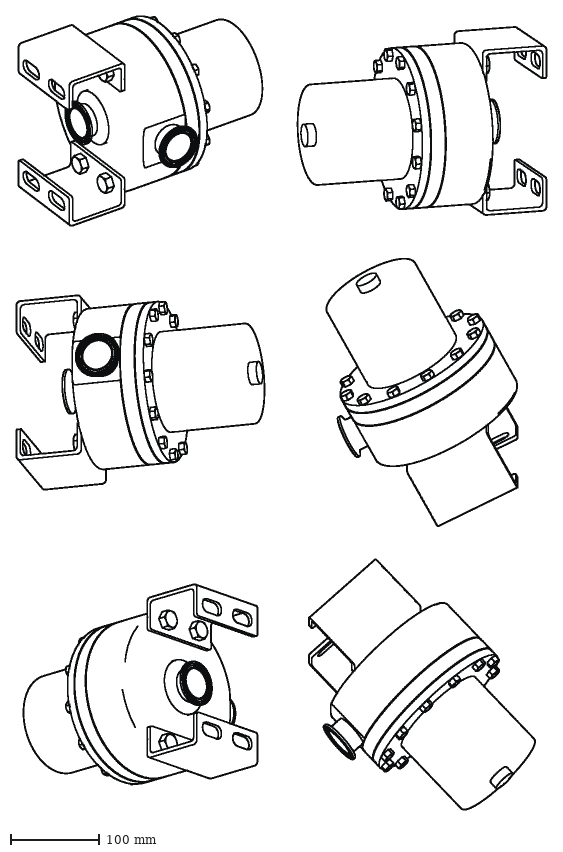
import cadquery as cq
import math

CASING_DIA = 183.0
CASING_LENGTH = 57.15
COVER_RING_END = 74.6
FLANGE_END = 85.0
MOTOR_DIA = 114.3
MOTOR_END = 185.1
SHAFT_DIA = 25.4
SHAFT_END = 195.17
CASING_FILLET = 3.2
MOTOR_FILLET = 1.5
JOINT_GROOVE_WIDTH = 0.8
JOINT_GROOVE_DEPTH = 0.4

FERRULE_DIA = 50.5
FERRULE_RIM = 2.85
FERRULE_SLOPE = math.radians(20)
FERRULE_NECK_RADIUS = 2.5
TUBE_DIA = 38.1
GASKET_INNER_DIA = 42.1
GASKET_OUTER_DIA = 46.4
GASKET_DEPTH = 1.6
RECESS_MOUTH_DIA = 37.5
RECESS_FLOOR_DIA = 34.6
RECESS_DEPTH = 1.0

INLET_LENGTH = 29.8
INLET_HUB_DIA = 63.6
INLET_HUB_FILLET = 3.0
INLET_CONE_START = 9.0
INLET_CONE_END = 16.0

OUTLET_FLAT_X = 87.7
OUTLET_FACE_X = 107.66
OUTLET_Y = 35.1

BRACKET_WIDTH = 101.6
BRACKET_DEPTH = 76.2
BRACKET_LEG = 38.1
BRACKET_THICKNESS = 4.76
BRACKET_OUTER_RADIUS = 4.76
BRACKET_INNER_RADIUS = 4.76
BRACKET_CORNER_RADIUS = 3.2
BRACKET_TOP_Z = 191.34 / 2
SLOT_LENGTH = 31.75
SLOT_WIDTH = 15.9
SLOT_SPACING = 50.8
SLOT_DROP = 22.0
SLOT_Z = BRACKET_TOP_Z - SLOT_DROP

BRACKET_BOLT_FLATS = 19.05
BRACKET_BOLT_HEIGHT = 9.1
FLANGE_BOLT_FLATS = 12.7
FLANGE_BOLT_HEIGHT = 6.35
FLANGE_BOLT_COUNT = 12
FLANGE_BOLT_CIRCLE_DIA = 167.6
BOLT_CHAMFER_ANGLE = math.radians(30)

OVERLAP = 2.0


def disc(diameter, y_start, y_end):
    """Cylinder about the Y axis from y_start to y_end."""
    plane = cq.Workplane("XZ", origin=(0, y_start, 0))
    return plane.circle(diameter / 2).extrude(y_start - y_end)


def joint_groove(y):
    """Ring that cuts the shallow groove where two casing sections meet."""
    start = y - JOINT_GROOVE_WIDTH / 2
    end = y + JOINT_GROOVE_WIDTH / 2
    outer = disc(CASING_DIA + OVERLAP, start, end)
    return outer.cut(disc(CASING_DIA - 2 * JOINT_GROOVE_DEPTH, start, end))


def make_body():
    """Casing, cover ring, flange, motor and shaft stub, with the outlet flat."""
    casing = disc(CASING_DIA, 0, FLANGE_END).faces("<Y").edges().fillet(CASING_FILLET)
    flat_cutter = cq.Workplane("XY").box(
        CASING_DIA, CASING_LENGTH, CASING_DIA, centered=(False, False, True)
    )
    casing = casing.cut(flat_cutter.translate((OUTLET_FLAT_X, 0, 0)))
    for y in (CASING_LENGTH, COVER_RING_END):
        casing = casing.cut(joint_groove(y))
    motor = disc(MOTOR_DIA, FLANGE_END - OVERLAP, MOTOR_END)
    motor = motor.faces(">Y").edges().fillet(MOTOR_FILLET)
    shaft = disc(SHAFT_DIA, MOTOR_END - OVERLAP, SHAFT_END)
    return casing.union(motor).union(shaft)


def make_ferrule(length):
    """Tube with a clamp rim, along +Z with its face at Z = 0 and its root at Z = -length."""
    tube_radius = TUBE_DIA / 2
    rim_radius = FERRULE_DIA / 2
    slope_end = FERRULE_RIM + (rim_radius - tube_radius) * math.tan(FERRULE_SLOPE)
    neck_turn = math.pi / 2 - FERRULE_SLOPE
    neck_tangent = FERRULE_NECK_RADIUS * math.tan(neck_turn / 2)
    neck_end = (
        tube_radius + neck_tangent * math.cos(FERRULE_SLOPE),
        -slope_end + neck_tangent * math.sin(FERRULE_SLOPE),
    )
    outline = (
        cq.Workplane("XZ")
        .moveTo(0, -length)
        .lineTo(tube_radius, -length)
        .lineTo(tube_radius, -slope_end - neck_tangent)
        .tangentArcPoint(neck_end, relative=False)
        .lineTo(rim_radius, -FERRULE_RIM)
        .lineTo(rim_radius, 0)
        .lineTo(RECESS_MOUTH_DIA / 2, 0)
        .lineTo(RECESS_FLOOR_DIA / 2, -RECESS_DEPTH)
        .lineTo(0, -RECESS_DEPTH)
        .close()
    )
    ferrule = outline.revolve(360, (0, 0, 0), (0, 1, 0))
    gasket_groove = (
        cq.Workplane("XY")
        .circle(GASKET_OUTER_DIA / 2)
        .circle(GASKET_INNER_DIA / 2)
        .extrude(-GASKET_DEPTH)
    )
    return ferrule.cut(gasket_groove)


def make_inlet():
    """Filleted hub and cone on the front face, carrying a ferrule that faces -Y."""
    hub_radius = INLET_HUB_DIA / 2
    root_radius = hub_radius + INLET_HUB_FILLET
    fillet_mid = INLET_HUB_FILLET * (1 - math.sqrt(0.5))
    hub = (
        cq.Workplane("XY")
        .moveTo(0, OVERLAP)
        .lineTo(root_radius, OVERLAP)
        .lineTo(root_radius, 0)
        .threePointArc((hub_radius + fillet_mid, -fillet_mid), (hub_radius, -INLET_HUB_FILLET))
        .lineTo(hub_radius, -INLET_CONE_START)
        .lineTo(TUBE_DIA / 2, -INLET_CONE_END)
        .lineTo(0, -INLET_CONE_END)
        .close()
        .revolve(360, (0, 0, 0), (0, 1, 0))
    )
    ferrule = make_ferrule(INLET_LENGTH).rotate((0, 0, 0), (1, 0, 0), 90)
    return hub.union(ferrule.translate((0, -INLET_LENGTH, 0)))


def make_outlet():
    """Ferrule facing +X on the casing flat."""
    ferrule = make_ferrule(OUTLET_FACE_X - OUTLET_FLAT_X + OVERLAP)
    ferrule = ferrule.rotate((0, 0, 0), (0, 1, 0), 90)
    return ferrule.translate((OUTLET_FACE_X, OUTLET_Y, 0))


def make_bolt_head(flats, height):
    """Hexagon head on the XY plane, corners on X, with its top corners chamfered."""
    corner_radius = flats / 2 / math.cos(math.pi / 6)
    chamfer_drop = (corner_radius - flats / 2) * math.tan(BOLT_CHAMFER_ANGLE)
    head = cq.Workplane("XY").polygon(6, 2 * corner_radius).extrude(height)
    envelope = (
        cq.Workplane("XZ")
        .moveTo(0, 0)
        .lineTo(corner_radius, 0)
        .lineTo(corner_radius, height - chamfer_drop)
        .lineTo(flats / 2, height)
        .lineTo(0, height)
        .close()
        .revolve(360, (0, 0, 0), (0, 1, 0))
    )
    return head.intersect(envelope)


def make_flange_bolts():
    """Ring of bolt heads on the motor side of the flange, each turned with its place."""
    pitch = 360 / FLANGE_BOLT_COUNT
    head = make_bolt_head(FLANGE_BOLT_FLATS, FLANGE_BOLT_HEIGHT + OVERLAP)
    head = head.rotate((0, 0, 0), (1, 0, 0), -90)
    bolts = cq.Workplane("XY")
    for index in range(FLANGE_BOLT_COUNT):
        angle = math.radians((index + 0.5) * pitch)
        x = FLANGE_BOLT_CIRCLE_DIA / 2 * math.cos(angle)
        z = FLANGE_BOLT_CIRCLE_DIA / 2 * math.sin(angle)
        turned = head.rotate((0, 0, 0), (0, 1, 0), -index * pitch)
        bolts = bolts.add(turned.translate((x, FLANGE_END - OVERLAP, z)))
    return bolts.combine()


def make_bracket():
    """Upper channel bracket with slots in its front leg and bolt heads on its rear leg."""
    inner_width = BRACKET_DEPTH - 2 * BRACKET_THICKNESS
    inner_height = BRACKET_LEG - BRACKET_THICKNESS
    outer = cq.Workplane("XY").box(
        BRACKET_WIDTH, BRACKET_DEPTH, BRACKET_LEG, centered=(True, True, False)
    )
    outer = outer.faces(">Z").edges("|X").fillet(BRACKET_OUTER_RADIUS)
    outer = outer.faces("<Z").edges("|Y").fillet(BRACKET_CORNER_RADIUS)
    inner = cq.Workplane("XY").box(
        BRACKET_WIDTH, inner_width, inner_height, centered=(True, True, False)
    )
    inner = inner.faces(">Z").edges("|X").fillet(BRACKET_INNER_RADIUS)
    leg_end_z = BRACKET_TOP_Z - BRACKET_LEG
    channel = outer.cut(inner).translate((0, -BRACKET_DEPTH / 2, leg_end_z))

    places = [(-SLOT_SPACING / 2, SLOT_Z), (SLOT_SPACING / 2, SLOT_Z)]
    slots = (
        cq.Workplane("XZ", origin=(0, -BRACKET_DEPTH + BRACKET_THICKNESS, 0))
        .pushPoints(places)
        .slot2D(SLOT_LENGTH, SLOT_WIDTH)
        .extrude(BRACKET_THICKNESS)
    )
    bracket = channel.cut(slots)
    head = make_bolt_head(BRACKET_BOLT_FLATS, BRACKET_BOLT_HEIGHT + OVERLAP)
    head = head.rotate((0, 0, 0), (1, 0, 0), 90)
    for x, z in places:
        bracket = bracket.union(head.translate((x, OVERLAP - BRACKET_THICKNESS, z)))
    return bracket


upper_bracket = make_bracket()
lower_bracket = upper_bracket.mirror("XY")
result = (
    make_body()
    .union(make_inlet())
    .union(make_outlet())
    .union(make_flange_bolts())
    .union(upper_bracket)
    .union(lower_bracket)
)